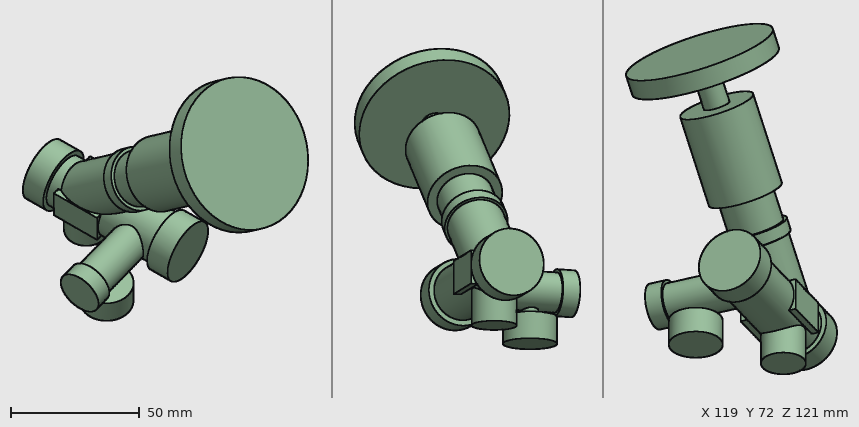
import cadquery as cq
import math

body_length = 70.2
body_diameter = 22.3
end_cap_diameter = 26.5
end_cap_length = 9.9

flat_start = 14.0
flat_length = 20.9
flat_height = 13.2
flat_width = 23.6

branch_angle = 45
bottom_depth = 21.0
overall_length = 119.0
overall_height = 121
wheel_diameter = 60.0
wheel_thickness = 8.0
branch_diameter = 23
collar_diameter = 25.2
collar_start = 33.0
collar_length = 5.1
neck_diameter = 22.3
bonnet_diameter = 29.9
bonnet_start = 51.9
bonnet_length = 37.1
stem_diameter = 10.5

slope = math.radians(branch_angle)
wheel_radius = wheel_diameter / 2
wheel_top_height = overall_height - bottom_depth - wheel_radius * math.cos(slope)
branch_end = wheel_top_height / math.sin(slope)
branch_x = overall_length - wheel_radius * math.sin(slope) - branch_end * math.cos(slope)

drain_x = 20.9
drain_diameter = 17.5

outlet_x = 49.0
outlet_reach = 42.0
outlet_diameter = 15.7
outlet_cap_diameter = 18.4
outlet_cap_length = 7.0
knob_y = -24.5
knob_diameter = 21.0
knob_top_depth = 10.4
knob_pin_diameter = 6.5


def cylinder(origin, direction, diameter, start, end):
    """Cylinder on the axis through origin, between two distances along it."""
    axis = cq.Vector(*direction).normalized()
    base = cq.Vector(*origin) + axis * start
    return cq.Workplane(cq.Solid.makeCylinder(diameter / 2, end - start, base, axis))


def make_body():
    origin = (0, 0, 0)
    along = (1, 0, 0)
    body = cylinder(origin, along, body_diameter, 0, body_length)
    for start in (0, body_length - end_cap_length):
        cap = cylinder(origin, along, end_cap_diameter, start, start + end_cap_length)
        body = body.union(cap)
    flats = cq.Workplane().box(flat_length, flat_width, flat_height)
    return body.union(flats.translate((flat_start + flat_length / 2, 0, 0)))


def make_branch():
    origin = (branch_x, 0, 0)
    along = (math.cos(slope), 0, math.sin(slope))
    collar_end = collar_start + collar_length
    bonnet_end = bonnet_start + bonnet_length
    wheel_start = branch_end - wheel_thickness
    branch = cylinder(origin, along, branch_diameter, 0, collar_start)
    for diameter, start, end in (
        (collar_diameter, collar_start, collar_end),
        (neck_diameter, collar_end, bonnet_start),
        (bonnet_diameter, bonnet_start, bonnet_end),
        (stem_diameter, bonnet_end, wheel_start),
        (wheel_diameter, wheel_start, branch_end),
    ):
        branch = branch.union(cylinder(origin, along, diameter, start, end))
    return branch


def make_drain():
    return cylinder((drain_x, 0, 0), (0, 0, -1), drain_diameter, 0, bottom_depth)


def make_outlet():
    origin = (outlet_x, 0, 0)
    along = (0, -1, 0)
    cap_start = outlet_reach - outlet_cap_length
    pipe = cylinder(origin, along, outlet_diameter, 0, cap_start)
    cap = cylinder(origin, along, outlet_cap_diameter, cap_start, outlet_reach)
    return pipe.union(cap)


def make_knob():
    origin = (outlet_x, knob_y, 0)
    down = (0, 0, -1)
    pin = cylinder(origin, down, knob_pin_diameter, 0, knob_top_depth)
    knob = cylinder(origin, down, knob_diameter, knob_top_depth, bottom_depth)
    return pin.union(knob)


result = make_body()
for feature in (make_branch(), make_drain(), make_outlet(), make_knob()):
    result = result.union(feature)